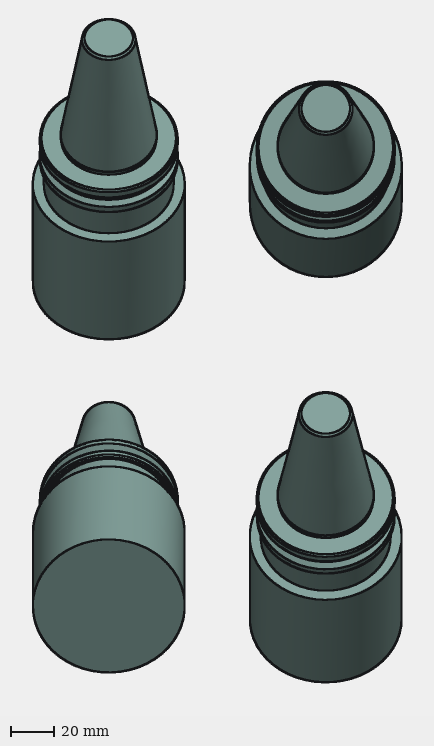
import cadquery as cq

total_height = 173.2
body_top = 69.6
flange_bottom = 86.0
flange_top = 101.9
taper_base = 104.1

body_diameter = 70.0
collar_diameter = 60.0
flange_diameter = 63.5
groove_diameter = 56.0
neck_diameter = 44.0
taper_base_diameter = 44.5

taper_rate = 7 / 24
tip_diameter = taper_base_diameter - taper_rate * (total_height - taper_base)

tip_chamfer = 1.0
flange_chamfer = 0.9

groove_center = 93.9
groove_floor_width = 3.6
groove_mouth_width = 6.8
groove_ledge = 0.9


def cylinder(diameter, bottom, top):
    """Solid cylinder on the Z axis between two heights."""
    return cq.Workplane("XY").workplane(offset=bottom).circle(diameter / 2).extrude(top - bottom)


def gripper_flange():
    """Flange with chamfered rims and a groove with sloping flanks and flat ledges."""
    blank = cylinder(flange_diameter, flange_bottom, flange_top).edges().chamfer(flange_chamfer)
    floor_radius = groove_diameter / 2
    flank_radius = floor_radius + groove_ledge
    rim_radius = flange_diameter / 2
    groove = (
        cq.Workplane("XZ")
        .moveTo(floor_radius, groove_center - groove_floor_width / 2)
        .lineTo(flank_radius, groove_center - groove_floor_width / 2)
        .lineTo(rim_radius, groove_center - groove_mouth_width / 2)
        .lineTo(rim_radius, groove_center + groove_mouth_width / 2)
        .lineTo(flank_radius, groove_center + groove_floor_width / 2)
        .lineTo(floor_radius, groove_center + groove_floor_width / 2)
        .close()
        .revolve(360, (0, 0, 0), (0, 1, 0))
    )
    return blank.cut(groove)


def taper_shank():
    """Conical shank with a chamfered tip."""
    cone = (
        cq.Workplane("XY")
        .workplane(offset=taper_base)
        .circle(taper_base_diameter / 2)
        .workplane(offset=total_height - taper_base)
        .circle(tip_diameter / 2)
        .loft(ruled=True)
    )
    return cone.faces(">Z").edges().chamfer(tip_chamfer)


body = cylinder(body_diameter, 0, body_top)
collar = cylinder(collar_diameter, body_top, flange_bottom)
neck = cylinder(neck_diameter, flange_top, taper_base)

result = body.union(collar).union(gripper_flange()).union(neck).union(taper_shank())